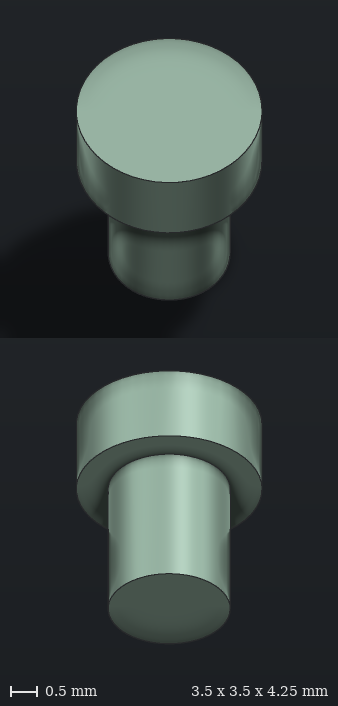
import cadquery as cq

head_diameter = 3.5
head_height = 1.5
shank_diameter = 2.3
total_height = 4.25

shank_length = total_height - head_height


def make_shank():
    """Plain cylindrical shank standing on the XY plane."""
    return cq.Workplane("XY").circle(shank_diameter / 2).extrude(shank_length)


def make_head():
    """Flat cylindrical head on top of the shank."""
    return (
        cq.Workplane("XY")
        .workplane(offset=shank_length)
        .circle(head_diameter / 2)
        .extrude(head_height)
    )


result = make_shank().union(make_head())